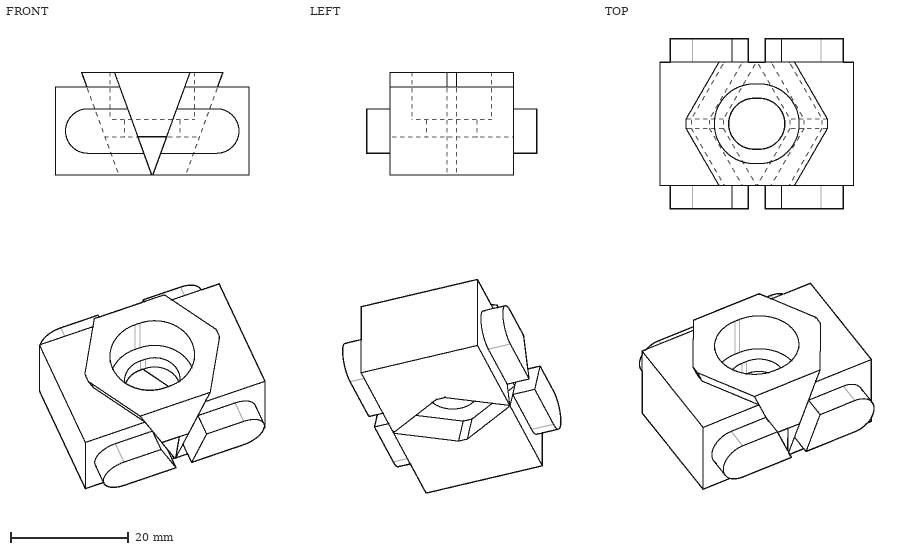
import cadquery as cq
import math

total_length = 33.0
block_width = 21.05
block_height = 15.0

lug_span = 29.0
lug_height = 7.6
lug_end_x = 14.8

top_z = 17.5
wedge_height = 11.0
flank_angle = 20.0
plan_angle = 30.0
nose_half_width = 0.8
seam_half_gap = 0.05

bore_radius = 4.32
counterbore_radius = 6.8
counterbore_depth = 8.0
slot_travel = 0.9

wedge_bottom_z = top_z - wedge_height
half_length = total_length / 2
half_width = block_width / 2
flank_slope = math.tan(math.radians(flank_angle))
nose_reach = (half_width - nose_half_width) * math.tan(math.radians(plan_angle))


def flank_x(z):
    """X of the flank at the side faces of the block, at height z."""
    return seam_half_gap + flank_slope * z


def wedge_outline(z):
    """Eight corners of the wedge at height z."""
    side_x = flank_x(z)
    nose_x = side_x + nose_reach
    return [
        (side_x, -half_width),
        (nose_x, -nose_half_width),
        (nose_x, nose_half_width),
        (side_x, half_width),
        (-side_x, half_width),
        (-nose_x, nose_half_width),
        (-nose_x, -nose_half_width),
        (-side_x, -half_width),
    ]


def clearance_outline(z):
    """Region on the wedge side of the right jaw's flank, at height z."""
    half_span = lug_span / 2
    side_x = flank_x(z)
    right_flank = wedge_outline(z)[:4]
    return [
        (-half_length, -half_span),
        (side_x, -half_span),
        *right_flank,
        (side_x, half_span),
        (-half_length, half_span),
    ]


def leaning_solid(outline, low_z, high_z):
    """Join the outlines at two heights with flat faces."""
    low = cq.Wire.makePolygon([cq.Vector(x, y, low_z) for x, y in outline(low_z)], close=True)
    high = cq.Wire.makePolygon([cq.Vector(x, y, high_z) for x, y in outline(high_z)], close=True)
    return cq.Workplane(cq.Solid.makeLoft([low, high], True))


def make_right_jaw():
    block = cq.Workplane().box(total_length, block_width, block_height, centered=(True, True, False))
    lugs = (
        cq.Workplane("XZ", origin=(0, 0, block_height / 2))
        .slot2D(2 * lug_end_x, lug_height)
        .extrude(lug_span / 2, both=True)
    )
    return block.union(lugs).cut(leaning_solid(clearance_outline, 0, top_z))


def screw_slot(radius, start_z, depth):
    """Slot cutter reaching down from start_z."""
    return (
        cq.Workplane(origin=(0, 0, start_z))
        .slot2D(2 * radius + slot_travel, 2 * radius)
        .extrude(-depth)
    )


def make_wedge():
    body = leaning_solid(wedge_outline, wedge_bottom_z, top_z)
    bore = screw_slot(bore_radius, top_z, wedge_height)
    counterbore = screw_slot(counterbore_radius, top_z, counterbore_depth)
    return body.cut(bore).cut(counterbore)


jaws = []
for turn in (0, 180):
    jaws.append(make_right_jaw().rotate((0, 0, 0), (0, 0, 1), turn))

wedge = make_wedge()

result = cq.Compound.makeCompound([wedge.solids().val(), *[jaw.solids().val() for jaw in jaws]])